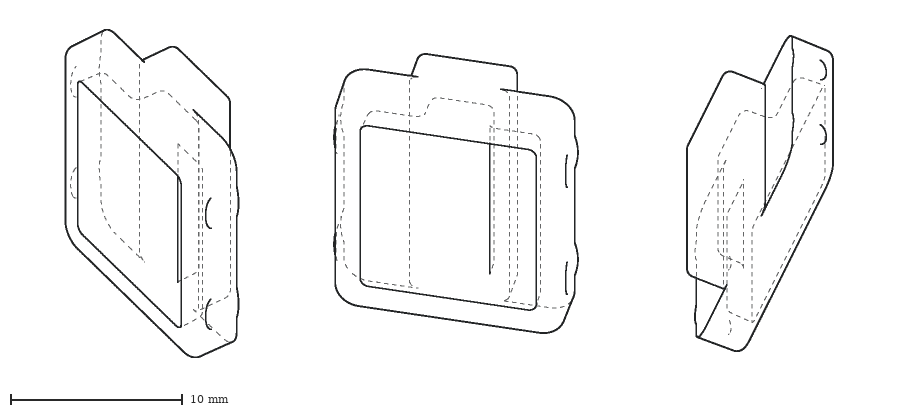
import cadquery as cq
import math

height = 15.8
body_width = 13.81
body_depth = 2.8
body_corner_radius = 1.5
edge_radius = 0.5
draft_angle = 1

plug_width = 5.99
plug_depth = 2.5

cavity_height = 12.01
cavity_mouth_width = 10.52
cavity_ledge_width = 10.33
ledge_depth = 1.8
well_depth = 3.8
well_mouth_width = 3.95
well_floor_width = 3.85

overall_width = 14.2
bump_radius = 4.0
bump_length = 2.42
bump_end_radius = 0.75
bump_spacing = 8.0
bump_clip_height = 3.16
bump_root_depth = 0.63

front_y = -body_depth
draft_slope = math.tan(math.radians(draft_angle))


def make_body():
    """Drafted cap block with rounded corners and a rounded front rim."""
    block = (
        cq.Workplane("XZ")
        .sketch()
        .rect(body_width, height)
        .vertices()
        .fillet(body_corner_radius)
        .finalize()
        .extrude(body_depth, taper=draft_angle)
    )
    return block.faces("<Y").edges().fillet(edge_radius)


def make_plug():
    """Full-height plug behind the body, rounded along its sides and back."""
    plug = cq.Workplane("XZ").rect(plug_width, height).extrude(-plug_depth)
    return plug.edges("|Y").fillet(edge_radius).faces(">Y").edges().fillet(edge_radius)


def make_bump(side, center_z):
    """Shallow grip bump: a sliver of a tapered disc with a rounded front end."""
    tip_radius = bump_radius - bump_length * draft_slope
    disc = (
        cq.Workplane("XZ")
        .circle(bump_radius)
        .workplane(offset=bump_length)
        .circle(tip_radius)
        .loft()
        .faces("<Y")
        .edges()
        .fillet(bump_end_radius)
    )
    disc = disc.translate((side * (overall_width / 2 - bump_radius), 0, center_z))
    outer_x = overall_width / 2
    inner_x = body_width / 2 - bump_root_depth
    clip = cq.Workplane("XY").box(outer_x - inner_x, 2 * body_depth, bump_clip_height)
    clip = clip.translate((side * (outer_x + inner_x) / 2, 0, center_z))
    return disc.intersect(clip)


def make_cavity():
    """Stepped cavity: a wide ledge level and a deeper central well."""
    ledge_y = front_y + ledge_depth
    well_y = front_y + well_depth
    right_side = [
        (cavity_mouth_width / 2, front_y),
        (cavity_ledge_width / 2, ledge_y),
        (well_mouth_width / 2, ledge_y),
        (well_floor_width / 2, well_y),
    ]
    left_side = [(-x, y) for x, y in reversed(right_side)]
    cavity = (
        cq.Workplane("XY")
        .polyline(right_side + left_side)
        .close()
        .extrude(cavity_height / 2, both=True)
    )
    mouth_edges = cq.selectors.BoxSelector(
        (-body_width, front_y - 0.16, -height),
        (body_width, front_y + 0.16, height),
    )
    return cavity.edges(-mouth_edges).fillet(edge_radius)


result = make_body().union(make_plug())
for side in (-1, 1):
    for center_z in (-bump_spacing / 2, bump_spacing / 2):
        result = result.union(make_bump(side, center_z))
result = result.cut(make_cavity())